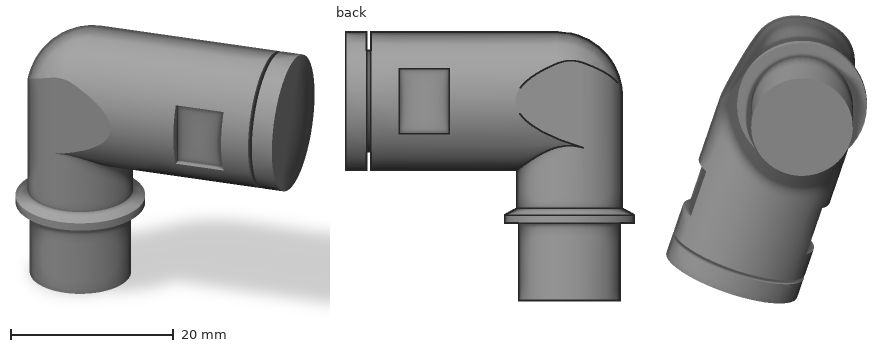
import cadquery as cq
import math

spigot_diameter = 12.5
spigot_height = 9.5
flange_diameter = 15.98
flange_rim_height = 1.0
flange_top_height = 11.32
leg_diameter = 13.0

overall_length = 35.5
overall_height = 33.0
barrel_diameter = 17.0
dome_radius = 8.0
flank_angle = math.radians(15)
end_ring_width = 2.6
groove_width = 0.5
groove_diameter = 12.5

pocket_start = 14.77
pocket_length = 6.18
pocket_height = 8.0
pocket_floor_spacing = 13.15

leg_radius = leg_diameter / 2
barrel_radius = barrel_diameter / 2
flange_radius = flange_diameter / 2
barrel_end = overall_length - flange_radius
axis_height = overall_height - barrel_radius


def make_leg():
    """Spigot, conical flange and leg, revolved about Z."""
    rim_top = spigot_height + flange_rim_height
    return (
        cq.Workplane("XZ")
        .lineTo(spigot_diameter / 2, 0)
        .lineTo(spigot_diameter / 2, spigot_height)
        .lineTo(flange_radius, spigot_height)
        .lineTo(flange_radius, rim_top)
        .lineTo(leg_radius, flange_top_height)
        .lineTo(leg_radius, axis_height)
        .lineTo(0, axis_height)
        .close()
        .revolve(360, (0, 0), (0, 1))
    )


def x_cylinder(start, end, diameter):
    """Cylinder on the barrel axis between two X positions."""
    plane = cq.Workplane("YZ", origin=(start, 0, axis_height))
    return plane.circle(diameter / 2).extrude(end - start)


def make_domed_barrel():
    """Barrel whose closed end is rounded on its upper half only."""
    lower = x_cylinder(-leg_radius, barrel_end, barrel_diameter)
    domed = lower.faces("<X").edges().fillet(dome_radius)
    upper_half = cq.Workplane("XY", origin=(0, 0, axis_height)).box(
        2 * overall_length, barrel_diameter, barrel_diameter, centered=(True, True, False)
    )
    return lower.cut(upper_half).union(domed.intersect(upper_half))


def make_plan_envelope():
    """Vertical prism: leg outline widening along tangent flanks to the barrel width."""
    tangent_x = -leg_radius * math.sin(flank_angle)
    tangent_y = leg_radius * math.cos(flank_angle)
    shoulder_x = tangent_x + (barrel_radius - tangent_y) / math.tan(flank_angle)
    return (
        cq.Workplane("XY")
        .moveTo(tangent_x, tangent_y)
        .threePointArc((-leg_radius, 0), (tangent_x, -tangent_y))
        .lineTo(shoulder_x, -barrel_radius)
        .lineTo(barrel_end, -barrel_radius)
        .lineTo(barrel_end, barrel_radius)
        .lineTo(shoulder_x, barrel_radius)
        .close()
        .extrude(overall_height)
    )


def make_groove():
    """Ring-shaped cutter just behind the end ring."""
    groove_end = barrel_end - end_ring_width
    groove_start = groove_end - groove_width
    outer = x_cylinder(groove_start, groove_end, 2 * barrel_diameter)
    return outer.cut(x_cylinder(groove_start, groove_end, groove_diameter))


def make_pocket_cutter(side):
    """Block that sinks a pocket into the +Y (side=1) or -Y (side=-1) flank."""
    depth = barrel_radius
    return cq.Workplane("XY").box(pocket_length, depth, pocket_height).translate(
        (pocket_start + pocket_length / 2, side * (pocket_floor_spacing + depth) / 2, axis_height)
    )


barrel = make_domed_barrel().intersect(make_plan_envelope())
result = make_leg().union(barrel).cut(make_groove())
for side in (-1, 1):
    result = result.cut(make_pocket_cutter(side))